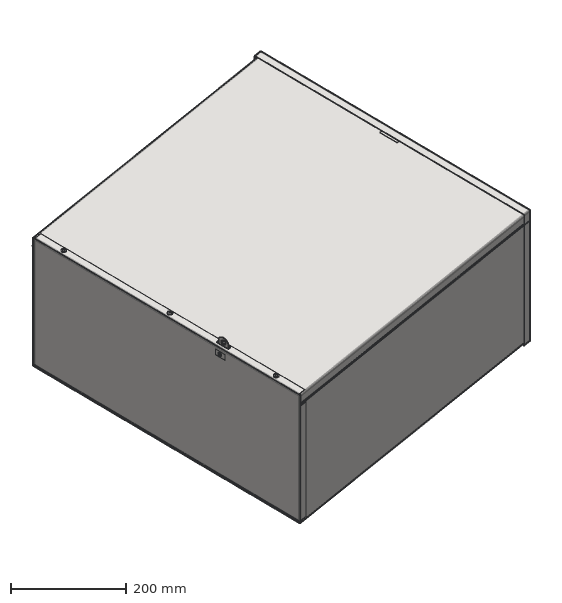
import cadquery as cq

OVERALL_WIDTH = 618.0
OVERALL_DEPTH = 612.5
OVERALL_HEIGHT = 326.5

SHEET = 1.55
BEND_RADIUS = 3.0
FRONT_Y = 0.5

CAP_TOP_Z = 315.0
CAP_DEPTH = 17.0
CAP_BEND_RADIUS = 2.5
COVER_TOP_Z = 310.0
COVER_FLANGE_HEIGHT = 21.0
LIP_PROJECTION = 0.9

PANEL_FLANGE_DEPTH = 16.5
PANEL_SIDE_FLANGE_BOTTOM_Z = 7.5
PANEL_SIDE_FLANGE_TOP_Z = 282.0

PAD_DIAMETER = 20.5
PAD_HEIGHT = 0.9
PAD_SPACING_X = 445.0
PAD_SPACING_Y = 534.5

SCREW_SPACING = 243.0
SCREW_Y = 10.0
SCREW_HEAD_DIAMETER = 10.0
SCREW_HEAD_HEIGHT = 1.0
SCREW_SHANK_DIAMETER = 4.5
SCREW_SHANK_LENGTH = 9.0

HASP_X = 122.0
HASP_WIDTH = 22.0
HASP_BACK_Y = 11.0
HASP_FOOT_BOTTOM_Z = 285.0
HASP_FOOT_TOP_Z = 298.5
HASP_HOLE_DIAMETER = 10.0
HASP_SLOT_LENGTH = 27.0
HASP_SLOT_WIDTH = 5.5

RIVET_Z = 293.5
RIVET_HEAD_DIAMETER = 8.0
RIVET_SHANK_DIAMETER = 4.5

CLIP_WIDTH = 39.5
CLIP_THICKNESS = 0.5
CLIP_PROJECTION = 2.5

LIP_WIDTH = OVERALL_WIDTH - 2 * SHEET
BODY_WIDTH = LIP_WIDTH - 2 * LIP_PROJECTION
INNER_WIDTH = BODY_WIDTH - 2 * SHEET
BODY_BACK_Y = OVERALL_DEPTH - CAP_BEND_RADIUS
BODY_BOTTOM_Z = SHEET
COVER_BOTTOM_Z = COVER_TOP_Z - SHEET
COVER_FLANGE_BOTTOM_Z = COVER_TOP_Z - COVER_FLANGE_HEIGHT
WRAPPER_TOP_Z = COVER_FLANGE_BOTTOM_Z
PANEL_BOTTOM_Z = BODY_BOTTOM_Z + SHEET
PANEL_BACK_Y = FRONT_Y + PANEL_FLANGE_DEPTH
PANEL_INNER_Y = FRONT_Y + SHEET
CAP_FRONT_Y = OVERALL_DEPTH - CAP_DEPTH
HASP_FRONT_Y = HASP_BACK_Y - SHEET
HASP_FOOT_BACK_Y = PANEL_INNER_Y + SHEET
HASP_EYE_Z = OVERALL_HEIGHT - HASP_WIDTH / 2


def block(width, y_min, y_max, z_min, z_max, x=0.0):
    """A box centred on x that spans the given Y and Z ranges."""
    center = (x, (y_min + y_max) / 2, (z_min + z_max) / 2)
    return cq.Workplane("XY").box(width, y_max - y_min, z_max - z_min).translate(center)


def cylinder_z(diameter, x, y, z_min, z_max):
    """A vertical cylinder."""
    return cq.Workplane("XY", origin=(x, y, z_min)).circle(diameter / 2).extrude(z_max - z_min)


def cylinder_y(diameter, x, z, y_min, y_max):
    """A cylinder along Y."""
    return cq.Workplane("XZ", origin=(x, y_min, z)).circle(diameter / 2).extrude(y_min - y_max)


def make_wrapper():
    outer = block(BODY_WIDTH, FRONT_Y, BODY_BACK_Y, BODY_BOTTOM_Z, WRAPPER_TOP_Z)
    outer = outer.faces("<Z").edges("|Y").fillet(BEND_RADIUS)
    lips = block(LIP_WIDTH, FRONT_Y, BODY_BACK_Y, WRAPPER_TOP_Z - SHEET, WRAPPER_TOP_Z)
    cavity = block(INNER_WIDTH, FRONT_Y, BODY_BACK_Y, PANEL_BOTTOM_Z, WRAPPER_TOP_Z)
    cavity = cavity.faces("<Z").edges("|Y").fillet(BEND_RADIUS - SHEET)
    wrapper = outer.union(lips).cut(cavity)
    pad_center_y = (FRONT_Y + BODY_BACK_Y) / 2
    for x in (-PAD_SPACING_X / 2, PAD_SPACING_X / 2):
        for y in (pad_center_y - PAD_SPACING_Y / 2, pad_center_y + PAD_SPACING_Y / 2):
            pad = cylinder_z(PAD_DIAMETER, x, y, BODY_BOTTOM_Z - PAD_HEIGHT, PANEL_BOTTOM_Z)
            wrapper = wrapper.union(pad)
    return wrapper


def make_front_panel():
    outer = block(INNER_WIDTH, FRONT_Y, PANEL_BACK_Y, PANEL_BOTTOM_Z, COVER_BOTTOM_Z)
    outer = outer.edges("|Y or <Y").fillet(BEND_RADIUS)
    panel = outer.faces(">Y").shell(-SHEET)
    notch_front_y = FRONT_Y + BEND_RADIUS
    notch_x = (INNER_WIDTH - BEND_RADIUS) / 2
    for x in (-notch_x, notch_x):
        for z_min, z_max in (
            (PANEL_BOTTOM_Z, PANEL_SIDE_FLANGE_BOTTOM_Z),
            (PANEL_SIDE_FLANGE_TOP_Z, COVER_BOTTOM_Z),
        ):
            panel = panel.cut(block(BEND_RADIUS, notch_front_y, PANEL_BACK_Y, z_min, z_max, x))
    panel = panel.cut(make_screw_holes()).cut(make_hasp_slot())
    return panel.cut(cylinder_y(RIVET_SHANK_DIAMETER, HASP_X, RIVET_Z, FRONT_Y, PANEL_INNER_Y))


def make_cover():
    outer = block(BODY_WIDTH, FRONT_Y, BODY_BACK_Y, COVER_FLANGE_BOTTOM_Z, COVER_TOP_Z)
    outer = outer.faces(">Z").edges("|Y").fillet(BEND_RADIUS)
    cavity = block(INNER_WIDTH, FRONT_Y, BODY_BACK_Y, COVER_FLANGE_BOTTOM_Z, COVER_BOTTOM_Z)
    cavity = cavity.faces(">Z").edges("|Y").fillet(BEND_RADIUS - SHEET)
    return outer.cut(cavity).cut(make_screw_holes()).cut(make_hasp_slot())


def make_screw_holes():
    holes = cq.Workplane("XY")
    for x in (-SCREW_SPACING, 0.0, SCREW_SPACING):
        holes = holes.add(
            cylinder_z(SCREW_SHANK_DIAMETER, x, SCREW_Y, COVER_BOTTOM_Z - SHEET, COVER_TOP_Z)
        )
    return holes.combine()


def make_hasp_slot():
    center_y = (HASP_FRONT_Y + HASP_BACK_Y) / 2
    half_width = HASP_SLOT_WIDTH / 2
    return block(
        HASP_SLOT_LENGTH,
        center_y - half_width,
        center_y + half_width,
        COVER_BOTTOM_Z - SHEET,
        COVER_TOP_Z,
        HASP_X,
    )


def make_cap():
    outer = block(OVERALL_WIDTH, CAP_FRONT_Y, OVERALL_DEPTH, 0.0, CAP_TOP_Z)
    outer = outer.edges("|Y or >Y").fillet(CAP_BEND_RADIUS)
    return outer.faces("<Y").shell(-SHEET)


def make_hasp():
    foot = block(HASP_WIDTH, PANEL_INNER_Y, HASP_FOOT_BACK_Y, HASP_FOOT_BOTTOM_Z, HASP_FOOT_TOP_Z, HASP_X)
    step = block(HASP_WIDTH, PANEL_INNER_Y, HASP_BACK_Y, HASP_FOOT_TOP_Z - SHEET, HASP_FOOT_TOP_Z, HASP_X)
    upright = block(HASP_WIDTH, HASP_FRONT_Y, HASP_BACK_Y, HASP_FOOT_TOP_Z - SHEET, HASP_EYE_Z, HASP_X)
    eye = cylinder_y(HASP_WIDTH, HASP_X, HASP_EYE_Z, HASP_FRONT_Y, HASP_BACK_Y)
    hasp = foot.union(step).union(upright).union(eye)
    hasp = hasp.cut(cylinder_y(HASP_HOLE_DIAMETER, HASP_X, HASP_EYE_Z, HASP_FRONT_Y, HASP_BACK_Y))
    return hasp.cut(cylinder_y(RIVET_SHANK_DIAMETER, HASP_X, RIVET_Z, PANEL_INNER_Y, HASP_FOOT_BACK_Y))


def make_rivet():
    head = cylinder_y(RIVET_HEAD_DIAMETER, HASP_X, RIVET_Z, 0.0, FRONT_Y)
    shank = cylinder_y(RIVET_SHANK_DIAMETER, HASP_X, RIVET_Z, 0.0, HASP_FOOT_BACK_Y)
    return head.union(shank)


def make_screw(x):
    head = cylinder_z(SCREW_HEAD_DIAMETER, x, SCREW_Y, COVER_TOP_Z, COVER_TOP_Z + SCREW_HEAD_HEIGHT)
    shank = cylinder_z(SCREW_SHANK_DIAMETER, x, SCREW_Y, COVER_TOP_Z - SCREW_SHANK_LENGTH, COVER_TOP_Z)
    return head.union(shank)


def make_clip():
    front_y = CAP_FRONT_Y - CLIP_PROJECTION
    return block(CLIP_WIDTH, front_y, BODY_BACK_Y, COVER_TOP_Z, COVER_TOP_Z + CLIP_THICKNESS)


wrapper = make_wrapper()
front_panel = make_front_panel()
cover = make_cover()
cap = make_cap()
hasp = make_hasp()
rivet = make_rivet()
clip = make_clip()
screws = [make_screw(x) for x in (-SCREW_SPACING, 0.0, SCREW_SPACING)]

result = cq.Compound.makeCompound(
    [
        wrapper.val(),
        front_panel.val(),
        cover.val(),
        cap.val(),
        hasp.val(),
        rivet.val(),
        clip.val(),
        *[screw.val() for screw in screws],
    ]
)